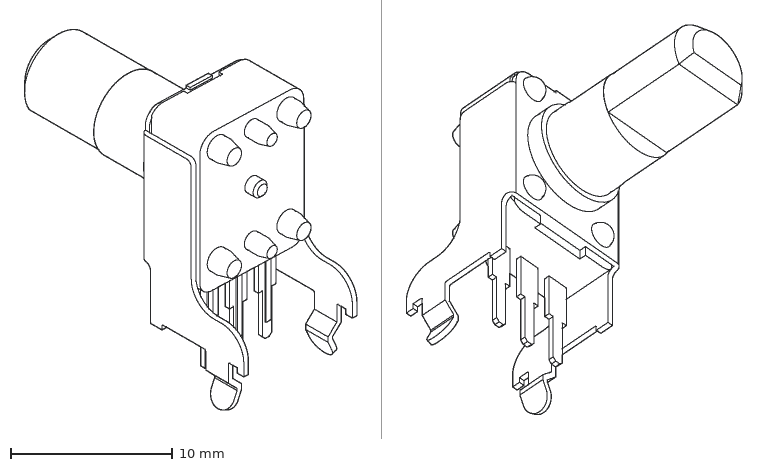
import cadquery as cq
import math


shaft_tip_radius = 2.99
shaft_tip_x = -13.11
shaft_tip_chamfer = 0.8
flat_end_x = -6.13
flat_z = -1.5
shank_radius = 3.0
bushing_radius = 3.05
bushing_front_x = -2.6
bushing_lead_in = 0.27
flange_radius = 3.48
flange_front_x = -1.2

bracket_width = 9.8
plate_thickness = 0.35
side_thickness = 0.4
bend_radius = 0.5
plate_top_z = 5.3
plate_bottom_z = -5.6
tab_width = 1.92
side_top_z = 3.81
side_rear_x = 4.5
side_corner_radius = 0.45
leg_front_x = 0.87
leg_relief_radius = 0.51
leg_arm_z = -6.98
leg_arm_radius = 2.0
leg_rear_x = 9.19
foot_z = -10.04
foot_step = 0.4
front_foot_length = 1.03
rear_foot_length = 0.6
foot_fillet = 0.11

lug_front_x = 5.8
lug_width = 2.0
lug_bend_z = -11.15
lug_bend_angle = 45.0
lug_inset = 0.75
lug_neck_height = 0.15
lug_flare_angle = 24.0
lug_tongue_length = 1.67

housing_rear_x = 4.86
housing_top_z = 5.5
housing_bottom_z = -6.33
top_corner_radius = 1.2
bottom_corner_radius = 1.0
front_edge_chamfer = 0.2
top_notch_width = 3.03
top_notch_depth = 0.33
bottom_recess_width = 3.97
bottom_recess_depth = 0.5

rivet_y = 3.0
rivet_z = 4.2
rivet_radius = 0.85
rivet_height = 0.78
corner_peg_tip_radius = 0.62
corner_peg_shoulder_x = 5.45
corner_peg_end_x = 6.4
middle_peg_radius = 0.65
middle_peg_shoulder_x = 5.86
middle_peg_end_x = 6.67
middle_peg_tip_radius = 0.45
centre_peg_radius = 0.6
centre_peg_shoulder_x = 5.6
centre_peg_end_x = 5.8
centre_peg_tip_radius = 0.42

pin_pitch = 2.5
pin_front_x = 3.28
pin_thickness = 0.38
pin_wide_width = 1.54
pin_narrow_width = 0.8
pin_step_z = -9.55
pin_tip_z = -13.2
pin_tip_chamfer = 0.22
rib_height = 0.11
rib_width = 0.4
rib_bottom_z = -11.93

half_width = bracket_width / 2
inner_half_width = half_width - side_thickness


def box(x0, x1, width, z0, z1, y=0):
    """Box between two X and two Z positions, centred on y."""
    return cq.Workplane("XY").box(x1 - x0, width, z1 - z0).translate(((x0 + x1) / 2, y, (z0 + z1) / 2))


def turned(profile, y=0, z=0):
    """Solid of revolution about an X-parallel axis, from (x, radius) points."""
    points = [(profile[0][0], 0)] + profile + [(profile[-1][0], 0)]
    solid = cq.Workplane("XY").polyline(points).close().revolve(360, (0, 0, 0), (1, 0, 0))
    return solid.translate((0, y, z))


def make_shaft():
    """D-shaped tip with a chamfered end, round shank, bushing and the mounting flange."""
    tip = turned([(shaft_tip_x, shaft_tip_radius), (flat_end_x, shaft_tip_radius)])
    tip = tip.cut(box(shaft_tip_x, flat_end_x, 2 * shaft_tip_radius, -shaft_tip_radius, flat_z))
    tip = tip.faces("<X").chamfer(shaft_tip_chamfer)
    shank = turned([(flat_end_x, shank_radius), (bushing_front_x, shank_radius)])
    bushing = turned([
        (bushing_front_x, shank_radius),
        (bushing_front_x + bushing_lead_in, bushing_radius),
        (flange_front_x, bushing_radius),
        (flange_front_x, flange_radius),
        (plate_thickness, flange_radius),
    ])
    return tip.union(shank).union(bushing)


def make_housing():
    """Rounded block behind the bracket plate."""
    block = box(plate_thickness, housing_rear_x, 2 * inner_half_width, housing_bottom_z, housing_top_z)
    block = block.edges("|X and >Z").fillet(top_corner_radius)
    block = block.edges("|X and <Z").fillet(bottom_corner_radius)

    bevelled = box(plate_thickness, housing_rear_x, 2 * inner_half_width, housing_bottom_z, housing_top_z)
    bevelled = bevelled.edges("|Z and <X").chamfer(front_edge_chamfer)
    block = block.intersect(bevelled)

    top_notch = box(plate_thickness, plate_thickness + top_notch_depth, top_notch_width,
                    plate_top_z, housing_top_z)
    bottom_recess = box(plate_thickness, plate_thickness + bottom_recess_depth, bottom_recess_width,
                        housing_bottom_z, plate_bottom_z)
    return block.cut(top_notch).cut(bottom_recess)


def make_plate():
    """Front plate of the bracket with a raised tab and the bends to the side plates."""
    upper = box(0, plate_thickness, 2 * inner_half_width, plate_bottom_z, plate_top_z)
    upper = upper.edges("|X and >Z").fillet(top_corner_radius)
    tab = box(0, plate_thickness, tab_width, 0, housing_top_z)
    lower = box(0, leg_front_x, bracket_width, plate_bottom_z, side_top_z)
    lower = lower.edges("|Z and <X").fillet(bend_radius)
    lower = lower.cut(box(plate_thickness, leg_front_x, 2 * inner_half_width, plate_bottom_z, side_top_z))
    return upper.union(tab).union(lower)


def make_side():
    """Side plate on the +Y side, with its leg, two feet and the snap-in lug."""
    relief_start_x = leg_front_x - leg_relief_radius
    notch_z = foot_z + foot_step
    diagonal = math.sqrt(0.5)
    relief_mid = (relief_start_x + leg_relief_radius * diagonal,
                  plate_bottom_z - leg_relief_radius * (1 - diagonal))
    lug_rear_x = lug_front_x + lug_width

    outline = (
        cq.Workplane("XZ")
        .moveTo(relief_start_x, side_top_z)
        .lineTo(side_rear_x - side_corner_radius, side_top_z)
        .radiusArc((side_rear_x, side_top_z - side_corner_radius), side_corner_radius)
        .lineTo(side_rear_x, leg_arm_z + leg_arm_radius)
        .radiusArc((side_rear_x + leg_arm_radius, leg_arm_z), -leg_arm_radius)
        .lineTo(leg_rear_x - leg_arm_radius, leg_arm_z)
        .radiusArc((leg_rear_x, leg_arm_z - leg_arm_radius), leg_arm_radius)
        .lineTo(leg_rear_x, foot_z)
        .lineTo(leg_rear_x - rear_foot_length, foot_z)
        .lineTo(leg_rear_x - rear_foot_length, notch_z)
        .lineTo(lug_rear_x + foot_fillet, notch_z)
        .radiusArc((lug_rear_x, notch_z - foot_fillet), -foot_fillet)
        .lineTo(lug_rear_x, lug_bend_z)
        .lineTo(lug_front_x, lug_bend_z)
        .lineTo(lug_front_x, notch_z - foot_fillet)
        .radiusArc((lug_front_x - foot_fillet, notch_z), -foot_fillet)
        .lineTo(leg_front_x + front_foot_length + foot_fillet, notch_z)
        .radiusArc((leg_front_x + front_foot_length, notch_z - foot_fillet), -foot_fillet)
        .lineTo(leg_front_x + front_foot_length, foot_z)
        .lineTo(leg_front_x, foot_z)
        .lineTo(leg_front_x, plate_bottom_z - leg_relief_radius)
        .threePointArc(relief_mid, (relief_start_x, plate_bottom_z))
        .close()
    )
    side = outline.extrude(-side_thickness).translate((0, inner_half_width, 0))
    bend = box(0, leg_rear_x, bracket_width, lug_bend_z, side_top_z).edges("|Z and <X").fillet(bend_radius)
    return side.intersect(bend).union(make_lug())


def make_lug():
    """Lug on the +Y side: bent inward, then flared out into a rounded tongue."""
    neck_outer_y = half_width - lug_inset
    neck_inner_y = neck_outer_y - side_thickness
    neck_top_z = lug_bend_z - lug_inset / math.tan(math.radians(lug_bend_angle))
    neck_bottom_z = neck_top_z - lug_neck_height
    inward_mitre = side_thickness * math.tan(math.radians(lug_bend_angle / 2))
    flare_mitre = side_thickness * math.tan(math.radians(lug_flare_angle / 2))
    flare = math.radians(lug_flare_angle)
    tip_y = neck_outer_y + lug_tongue_length * math.sin(flare)
    tip_z = neck_bottom_z - lug_tongue_length * math.cos(flare)

    section = [
        (half_width, lug_bend_z),
        (neck_outer_y, neck_top_z),
        (neck_outer_y, neck_bottom_z),
        (tip_y, tip_z),
        (tip_y - side_thickness * math.cos(flare), tip_z - side_thickness * math.sin(flare)),
        (neck_inner_y, neck_bottom_z - flare_mitre),
        (neck_inner_y, neck_top_z + inward_mitre),
        (inner_half_width, lug_bend_z + inward_mitre),
        (half_width, lug_bend_z + inward_mitre),
    ]
    strip = cq.Workplane("YZ").polyline(section).close().extrude(lug_width).translate((lug_front_x, 0, 0))

    end_radius = lug_width / 2
    tip_plane = cq.Plane(
        origin=(lug_front_x + end_radius, tip_y, tip_z),
        xDir=(1, 0, 0),
        normal=(0, -math.cos(flare), -math.sin(flare)),
    )
    corners = cq.Workplane(tip_plane).rect(lug_width, 2 * end_radius).extrude(side_thickness)
    disc = cq.Workplane(tip_plane).center(0, end_radius).circle(end_radius).extrude(side_thickness)
    return strip.cut(corners.cut(disc))


def make_rivets():
    """Domed rivet heads in front and tapered pegs behind, at the four corners."""
    dome_space = box(-rivet_height, plate_thickness, bracket_width, -housing_top_z, housing_top_z)
    rivets = cq.Workplane("XY")
    for y in (-rivet_y, rivet_y):
        for z in (-rivet_z, rivet_z):
            dome = cq.Workplane("XY").sphere(rivet_radius)
            dome = dome.translate((rivet_radius - rivet_height, y, z)).intersect(dome_space)
            peg = make_peg(rivet_radius, corner_peg_shoulder_x,
                           corner_peg_tip_radius, corner_peg_end_x, y, z)
            rivets = rivets.union(dome).union(peg)
    return rivets


def make_peg(radius, shoulder_x, tip_radius, end_x, y, z):
    """Round peg on the rear of the housing, tapered beyond its shoulder."""
    profile = [(plate_thickness, radius), (shoulder_x, radius), (end_x, tip_radius)]
    return turned(profile, y, z)


def make_middle_pegs():
    """Pegs in the mid-plane: one above, one below and a short one on the axis."""
    pegs = make_peg(centre_peg_radius, centre_peg_shoulder_x,
                    centre_peg_tip_radius, centre_peg_end_x, 0, 0)
    for z in (-rivet_z, rivet_z):
        pegs = pegs.union(make_peg(middle_peg_radius, middle_peg_shoulder_x,
                                   middle_peg_tip_radius, middle_peg_end_x, 0, z))
    return pegs


def make_pin(y):
    """Stepped terminal pin with a bevelled tip and a rib on its rear face."""
    rear_x = pin_front_x + pin_thickness
    wide = box(pin_front_x, rear_x, pin_wide_width, pin_step_z, 0, y)
    narrow = box(pin_front_x, rear_x, pin_narrow_width, pin_tip_z, 0, y)
    narrow = narrow.edges("|X and <Z").chamfer(pin_tip_chamfer)
    rib = box(rear_x, rear_x + rib_height, rib_width, rib_bottom_z, 0, y)
    return wide.union(narrow).union(rib)


side = make_side()
result = make_housing().union(make_plate()).union(side).union(side.mirror("XZ"))
result = result.union(make_shaft()).union(make_rivets()).union(make_middle_pegs())
for pin_y in (-pin_pitch, 0, pin_pitch):
    result = result.union(make_pin(pin_y))